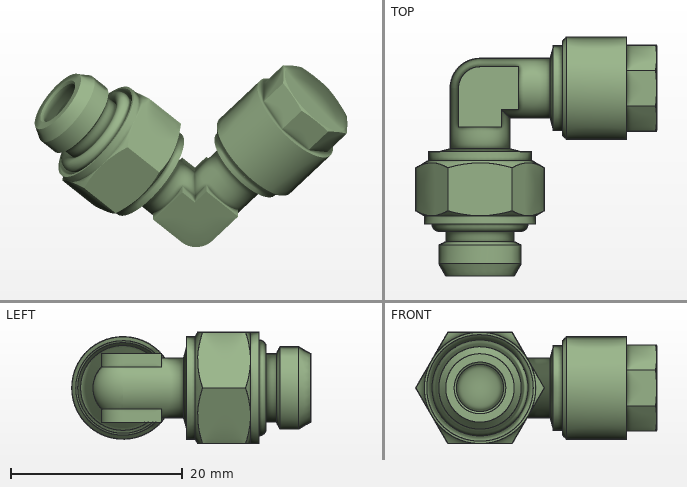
import cadquery as cq
import math


tube_radius = 3.5
pad_half_height = 4.02
pad_half_width = 2.5
pad_length = 4.5

nut_across_flats = 13.0
nut_flat_radius = nut_across_flats / 2
nut_vertex_radius = nut_flat_radius / math.cos(math.pi / 6)
nut_chamfer_angle = math.radians(30)

overall_length = 28.1

shoulder_radius = 4.72

flange_start = 8.18
flange_rim = 8.52
collar_start = 9.6
collar_end = 17.1
socket_end = overall_length - nut_vertex_radius
flange_radius = 4.95
collar_radius = 6.0
collar_chamfer = 0.48
collar_recess_radius = 5.28
collar_recess_depth = 0.35
octagon_across_flats = 10.05
octagon_end_radius = 4.9
octagon_chamfer_angle = math.radians(15)

shoulder_start = 7.05
washer_start = 7.4
nut_start = 8.4
nut_end = 14.87
nut_collar_end = 15.85
neck_end = 17.88
stud_start = 18.3
stud_taper_start = 20.46
stud_end = 21.9
washer_radius = collar_radius
neck_radius = 4.0
stud_radius = 4.8

ring_mean_radius = 4.75
ring_wire_radius = 0.85
ring_centre = 15.85
seat_mouth_radius = 6.2
seat_floor_radius = 5.48
seat_depth = 0.73

bore_radius = 2.75
bore_chamfer = 0.25
bore_depth = 1.8


def turned(profile):
    """Solid of revolution about +X from (station, radius) points, closed along the axis."""
    axis_points = [(profile[-1][0], 0), (profile[0][0], 0)]
    return cq.Workplane("XY").polyline(profile + axis_points).close().revolve(360, (0, 0, 0), (1, 0, 0))


def regular_bar(sides, across_flats, start, end):
    """Regular polygon bar along +X with two flats facing +Z and -Z."""
    vertex_diameter = across_flats / math.cos(math.pi / sides)
    bar = cq.Workplane("XY").polygon(sides, vertex_diameter).extrude(end - start)
    bar = bar.rotate((0, 0, 0), (0, 0, 1), 180 / sides)
    return bar.rotate((0, 0, 0), (0, 1, 0), 90).translate((start, 0, 0))


def to_stud_arm(shape):
    """Turn a shape built along +X so that it lies along -Y."""
    return shape.rotate((0, 0, 0), (0, 0, 1), -90)


def elbow_pads():
    """L-shaped block whose top and bottom stand proud of the tubes as flat pads."""
    w = pad_half_width
    return (
        cq.Workplane("XY")
        .workplane(offset=-pad_half_height)
        .moveTo(0, w)
        .lineTo(pad_length, w)
        .lineTo(pad_length, -w)
        .lineTo(w, -w)
        .lineTo(w, -pad_length)
        .lineTo(-w, -pad_length)
        .lineTo(-w, 0)
        .radiusArc((0, w), w)
        .close()
        .extrude(2 * pad_half_height)
    )


def socket_arm():
    body = turned([
        (0, tube_radius),
        (flange_start, tube_radius),
        (flange_rim, shoulder_radius),
        (flange_rim, flange_radius),
        (collar_start + collar_recess_depth, flange_radius),
        (collar_start, collar_recess_radius),
        (collar_start, collar_radius - collar_chamfer),
        (collar_start + collar_chamfer, collar_radius),
        (collar_end, collar_radius),
    ])
    octagon = regular_bar(8, octagon_across_flats, collar_end, socket_end)
    end_cone_length = (collar_radius - octagon_end_radius) * math.tan(octagon_chamfer_angle)
    octagon_limit = turned([
        (collar_end, collar_radius),
        (socket_end - end_cone_length, collar_radius),
        (socket_end, octagon_end_radius),
    ])
    return body.union(octagon.intersect(octagon_limit))


def nut():
    """Hexagon with both ends turned to 30 degree chamfers."""
    slope = math.tan(nut_chamfer_angle)
    limit = turned([
        (nut_start, washer_radius),
        (nut_start + (nut_vertex_radius - washer_radius) * slope, nut_vertex_radius),
        (nut_end - (nut_vertex_radius - nut_flat_radius) * slope, nut_vertex_radius),
        (nut_end, nut_flat_radius),
    ])
    bar = regular_bar(6, nut_across_flats, nut_start, nut_end)
    return bar.intersect(limit)


def stud_arm():
    seat_floor = nut_collar_end - seat_depth
    body = turned([
        (0, tube_radius),
        (shoulder_start, tube_radius),
        (washer_start, shoulder_radius),
        (washer_start, washer_radius),
        (nut_start, washer_radius),
    ])
    stud = turned([
        (nut_end, nut_flat_radius),
        (nut_collar_end, nut_flat_radius),
        (nut_collar_end, seat_mouth_radius),
        (seat_floor, seat_floor_radius),
        (seat_floor, neck_radius),
        (neck_end, neck_radius),
        (stud_start, stud_radius),
        (stud_taper_start, stud_radius),
        (stud_end, neck_radius),
    ])
    seal_ring = cq.Solid.makeTorus(
        ring_mean_radius, ring_wire_radius, cq.Vector(ring_centre, 0, 0), cq.Vector(1, 0, 0)
    )
    bore = turned([
        (stud_end - bore_depth, bore_radius),
        (stud_end - bore_chamfer, bore_radius),
        (stud_end, bore_radius + bore_chamfer),
    ])
    return to_stud_arm(body.union(nut()).union(stud).union(cq.Workplane(seal_ring)).cut(bore))


corner_ball = cq.Workplane("XY").sphere(tube_radius)
result = corner_ball.union(socket_arm()).union(stud_arm()).union(elbow_pads())